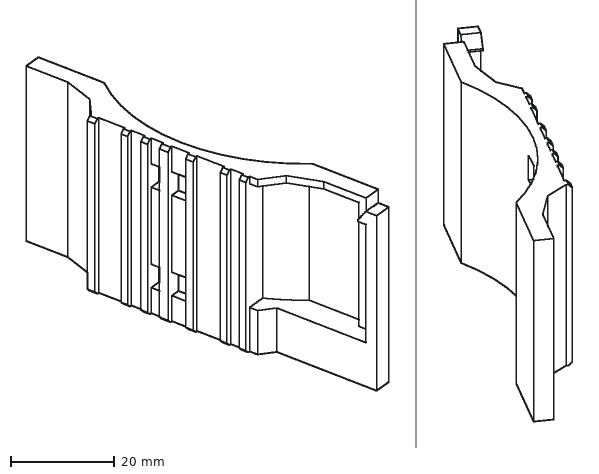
import cadquery as cq
import math

height = 40.0
total_length = 87.5
total_depth = 12.25
plate_length = 82.0
plate_thickness = 4.0
center_x = 40.95
base_depth = 11.0

base_half = 20.0
shoulder_half = 23.7
shoulder_depth = 6.6
wing_half = 30.9

hollow_half = 25.1
hollow_depth = 8.8
hollow_radius = (hollow_half**2 + hollow_depth**2) / (2 * hollow_depth)
hollow_axis_y = hollow_radius - hollow_depth

rib_spans = [
    (20.8, 22.7),
    (29.0, 30.5),
    (33.8, 35.35),
    (38.2, 40.3),
    (44.5, 46.4),
    (52.9, 54.5),
    (57.5, 59.1),
]
rib_end_chamfer = 0.8

window_height = 5.3
window_margin = 5.9
window_gaps = [(rib_spans[2][1], rib_spans[3][0]), (rib_spans[3][1], rib_spans[4][0])]

arm_height = 10.1
arm_depth = 8.05
arm_overlap = 2.6
finger_width = 2.6
hook_reach = 1.9
hook_height = 3.0
hook_tip_height = 0.4

pocket_wall = 2.0
pocket_left = rib_spans[-1][1]
pocket_right = 80.2
pocket_top = height - 1.7


def block(x_span, depth_span, z_span):
    """Box between two X values, two depths behind the back face and two heights."""
    return (
        cq.Workplane("XY")
        .box(x_span[1] - x_span[0], depth_span[1] - depth_span[0], z_span[1] - z_span[0], centered=False)
        .translate((x_span[0], -depth_span[1], z_span[0]))
    )


def make_body():
    return (
        cq.Workplane("XY")
        .moveTo(0, 0)
        .lineTo(center_x - hollow_half, 0)
        .threePointArc((center_x, -hollow_depth), (center_x + hollow_half, 0))
        .lineTo(plate_length, 0)
        .lineTo(plate_length, -plate_thickness)
        .lineTo(center_x + wing_half, -plate_thickness)
        .lineTo(center_x + shoulder_half, -shoulder_depth)
        .lineTo(center_x + base_half, -base_depth)
        .lineTo(center_x - base_half, -base_depth)
        .lineTo(center_x - shoulder_half, -shoulder_depth)
        .lineTo(center_x - wing_half, -plate_thickness)
        .lineTo(0, -plate_thickness)
        .close()
        .extrude(height)
    )


def make_pocket():
    """Pocket whose floor follows the hollow, then the flat plate."""
    floor_radius = hollow_radius + pocket_wall

    def floor_y(x):
        return hollow_axis_y - math.sqrt(floor_radius**2 - (x - center_x) ** 2)

    bend_x = center_x + math.sqrt(floor_radius**2 - (hollow_axis_y + pocket_wall) ** 2)
    middle_x = (pocket_left + bend_x) / 2
    return (
        cq.Workplane("XY", origin=(0, 0, arm_height))
        .moveTo(pocket_left, -total_depth)
        .lineTo(pocket_left, floor_y(pocket_left))
        .threePointArc((middle_x, floor_y(middle_x)), (bend_x, -pocket_wall))
        .lineTo(pocket_right, -pocket_wall)
        .lineTo(pocket_right, -total_depth)
        .close()
        .extrude(pocket_top - arm_height)
    )


def make_rib(left, right):
    rib = block((left, right), (base_depth, total_depth), (0, height))
    return rib.faces("<Y").edges("|X").chamfer(rib_end_chamfer)


def make_clip():
    """L-shaped arm with a hook at the top of its upright finger."""
    arm_left = center_x + shoulder_half - arm_overlap
    finger_left = total_length - finger_width
    hook_tip = finger_left - hook_reach
    hook_bottom = height - hook_height
    return (
        cq.Workplane("XZ", origin=(0, -plate_thickness, 0))
        .moveTo(arm_left, 0)
        .lineTo(total_length, 0)
        .lineTo(total_length, height)
        .lineTo(finger_left, height)
        .lineTo(hook_tip, hook_bottom + hook_tip_height)
        .lineTo(hook_tip, hook_bottom)
        .lineTo(finger_left, hook_bottom)
        .lineTo(finger_left, arm_height)
        .lineTo(arm_left, arm_height)
        .close()
        .extrude(arm_depth - plate_thickness)
    )


result = make_body().cut(make_pocket()).union(make_clip())
for rib_left, rib_right in rib_spans:
    result = result.union(make_rib(rib_left, rib_right))

for gap in window_gaps:
    for window_bottom in (window_margin, height - window_margin - window_height):
        window_span = (window_bottom, window_bottom + window_height)
        result = result.cut(block(gap, (0, total_depth), window_span))